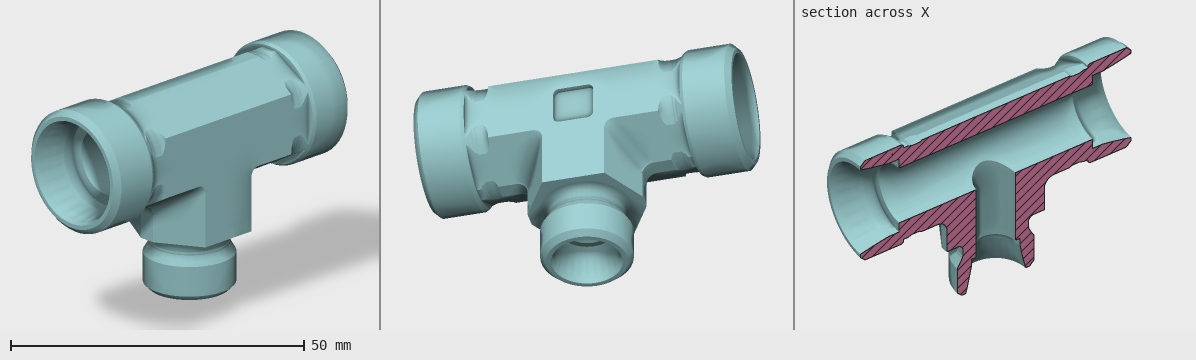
import cadquery as cq
import math

run_length = 56.0
run_thread_d = 22.0
run_undercut_start = 15.0
run_hex_end = 19.0
run_bore_d = 12.0
run_seat_d = 16.0
run_mouth_d = 18.5
run_seat_depth = 8.0

branch_reach = 28.0
branch_thread_d = 16.0
branch_undercut_start = 17.0
branch_bore_d = 8.0
branch_seat_d = 10.0
branch_mouth_d = 12.3
branch_seat_depth = 7.0

across_flats = 19.0
across_trimmed_corners = 20.25
inner_corner_fillet = 2.0

undercut_depth = 1.15
undercut_length = 4.6
undercut_radius = 1.0
undercut_runout_angle = 30.0
tip_chamfer = 1.0
seat_cone_half_angle = 12.0

panel_size = 7.0
panel_corner_radius = 1.0
panel_depth = 1.0
panel_centre_z = -1.0


def hex_outline(plane):
    """Hexagon with flats on +-X whose two corners on the other axis are trimmed flat."""
    half_flat = across_flats / 2
    trim = across_trimmed_corners / 2
    side_corner = half_flat * math.tan(math.radians(30))
    peak = half_flat / math.cos(math.radians(30))
    trim_half_width = (peak - trim) * math.tan(math.radians(60))
    upper = [
        (half_flat, side_corner),
        (trim_half_width, trim),
        (-trim_half_width, trim),
        (-half_flat, side_corner),
    ]
    lower = [(-x, -v) for x, v in upper]
    return cq.Workplane(plane).polyline(upper + lower).close()


def hex_run(half_length):
    return hex_outline("XZ").extrude(half_length, both=True)


def threaded_end(thread_d, start, tip):
    """Turned end along +Z from start to tip: filleted undercut, conical runout, thread and chamfer."""
    thread_r = thread_d / 2
    root_r = thread_r - undercut_depth
    runout_end = start + undercut_length
    slope = math.radians(undercut_runout_angle)
    runout_start = runout_end - undercut_depth / math.tan(slope)
    tangent = undercut_radius * math.tan(slope / 2)
    arc_start = (root_r, runout_start - tangent)
    arc_end = (root_r + tangent * math.sin(slope), runout_start + tangent * math.cos(slope))
    shoulder = (root_r + undercut_radius, start)
    floor_start = (root_r, start + undercut_radius)
    return (
        cq.Workplane("XZ")
        .moveTo(0, start)
        .lineTo(*shoulder)
        .radiusArc(floor_start, undercut_radius)
        .lineTo(*arc_start)
        .radiusArc(arc_end, -undercut_radius)
        .lineTo(thread_r, runout_end)
        .lineTo(thread_r, tip - tip_chamfer)
        .lineTo(thread_r - tip_chamfer, tip)
        .lineTo(0, tip)
        .close()
        .revolve(360, (0, 0, 0), (0, 1, 0))
    )


def end_bore(bore_d, seat_d, mouth_d, seat_depth, tip):
    """Bore along +Z from the centre to tip, opening into a tube seat and a conical mouth."""
    cone_length = (mouth_d - seat_d) / 2 / math.tan(math.radians(seat_cone_half_angle))
    profile = [
        (0, 0),
        (bore_d / 2, 0),
        (bore_d / 2, tip - seat_depth),
        (seat_d / 2, tip - seat_depth),
        (seat_d / 2, tip - cone_length),
        (mouth_d / 2, tip),
        (0, tip),
    ]
    return cq.Workplane("XZ").polyline(profile).close().revolve(360, (0, 0, 0), (0, 1, 0))


def along_y(shape, side):
    """Turn a shape built along +Z to point along +Y (side 1) or -Y (side -1)."""
    return shape.rotate((0, 0, 0), (1, 0, 0), -90 * side)


def along_minus_z(shape):
    return shape.rotate((0, 0, 0), (1, 0, 0), 180)


def hex_tee():
    """Hexagon run and branch, rounded where their inner corners meet at 45 degrees."""
    tee = hex_run(run_undercut_start).union(hex_outline("XY").extrude(-branch_undercut_start)).clean()
    tolerance = 1e-4
    mitre_edges = [
        edge for edge in tee.edges().vals()
        if edge.Center().z < 0 and abs(abs(edge.Center().y) + edge.Center().z) < tolerance
    ]
    return tee.newObject(mitre_edges).fillet(inner_corner_fillet)


def run_end(side):
    """Threaded end of the run, with the hexagon flats carried on across the undercut."""
    half_length = run_length / 2
    turned = along_y(threaded_end(run_thread_d, run_undercut_start, half_length), side)
    hex_part = turned.intersect(hex_run(run_hex_end))
    thread_zone = cq.Workplane("XY").circle(run_thread_d).extrude(half_length - run_hex_end)
    thread_zone = along_y(thread_zone.translate((0, 0, run_hex_end)), side)
    return hex_part.union(turned.intersect(thread_zone))


def panel_recess():
    return (
        cq.Workplane("XY")
        .box(2 * panel_depth, panel_size, panel_size)
        .edges("|X")
        .fillet(panel_corner_radius)
        .translate((-across_flats / 2, 0, panel_centre_z))
    )


body = hex_tee()
for side in (1, -1):
    body = body.union(run_end(side))
body = body.union(along_minus_z(threaded_end(branch_thread_d, branch_undercut_start, branch_reach)))

run_bore = end_bore(run_bore_d, run_seat_d, run_mouth_d, run_seat_depth, run_length / 2)
for side in (1, -1):
    body = body.cut(along_y(run_bore, side))
branch_bore = end_bore(branch_bore_d, branch_seat_d, branch_mouth_d, branch_seat_depth, branch_reach)
body = body.cut(along_minus_z(branch_bore))

result = body.cut(panel_recess())